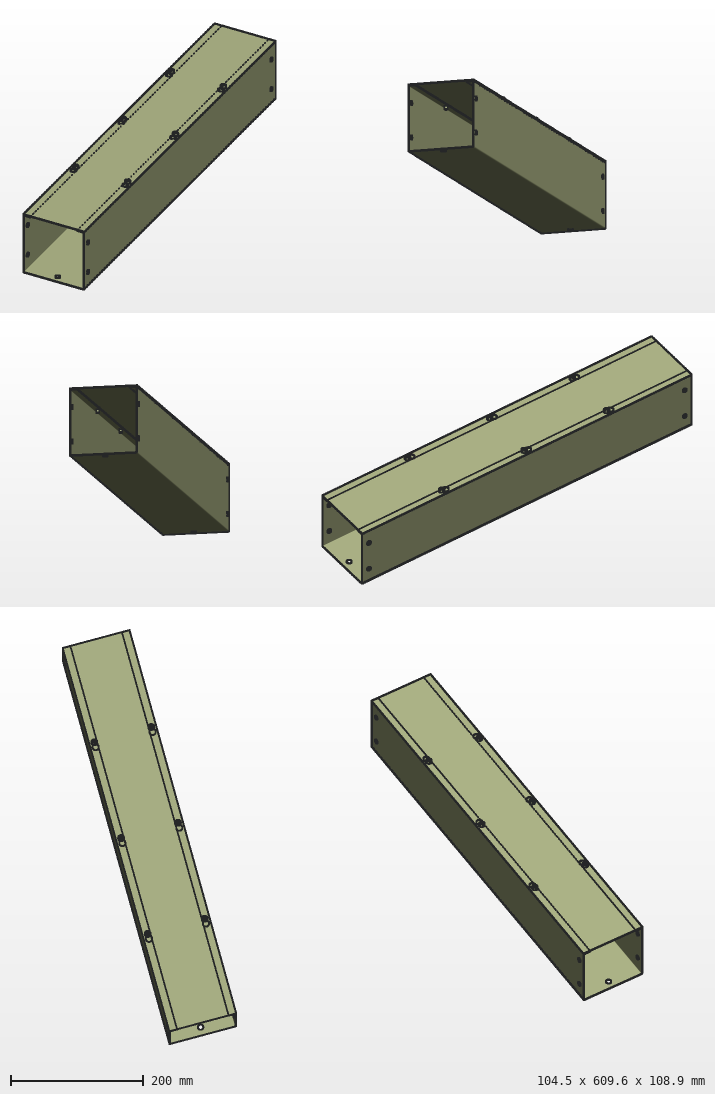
import cadquery as cq

length = 609.6
width = 104.5
sheet = 1.5
trough_height = 103.0
flange_width = 12.0
bend_inner_radius = 0.75
overall_height = 108.94

side_hole_diameter = 6.8
floor_hole_diameter = 8.0
end_hole_inset = 12.7
side_hole_spacing = 52.8

screw_side_offset = 44.45
screw_pitch = 152.4
screws_per_side = 3
shank_diameter = 5.0
head_diameter = 9.2
shank_below_flange = 5.5
tip_chamfer = 1.0
drive_slot_width = 1.0
drive_slot_depth = 2.5
head_crown_radius = 2.5

slot_width = 9.6
keyhole_travel = 7.4

bend_outer_radius = bend_inner_radius + sheet
cover_top = trough_height + sheet
head_height = overall_height - cover_top
flange_underside = trough_height - sheet
end_hole_y = length / 2 - end_hole_inset
screw_points = [
    (side * screw_side_offset, (row - (screws_per_side - 1) / 2) * screw_pitch)
    for side in (-1, 1)
    for row in range(screws_per_side)
]


def long_block(block_width, bottom, top):
    """A block over the full length, centred in X and Y, between two heights."""
    return (
        cq.Workplane("XY", origin=(0, 0, bottom))
        .rect(block_width, length)
        .extrude(top - bottom)
    )


def make_trough():
    """Bent channel with in-turned top flanges, end holes and screw holes."""
    outside = long_block(width, 0, trough_height).edges("|Y").fillet(bend_outer_radius)
    inside = (
        long_block(width - 2 * sheet, sheet, flange_underside)
        .edges("|Y")
        .fillet(bend_inner_radius)
    )
    opening = long_block(width - 2 * flange_width, flange_underside - sheet, trough_height)
    side_hole_points = [
        (y, trough_height / 2 + up * side_hole_spacing / 2)
        for y in (-end_hole_y, end_hole_y)
        for up in (-1, 1)
    ]
    side_holes = (
        cq.Workplane("YZ")
        .pushPoints(side_hole_points)
        .circle(side_hole_diameter / 2)
        .extrude(width, both=True)
    )
    floor_holes = (
        cq.Workplane("XY")
        .pushPoints([(0, -end_hole_y), (0, end_hole_y)])
        .circle(floor_hole_diameter / 2)
        .extrude(sheet)
    )
    screw_holes = (
        cq.Workplane("XY", origin=(0, 0, flange_underside))
        .pushPoints(screw_points)
        .circle(shank_diameter / 2)
        .extrude(sheet)
    )
    return outside.cut(inside).cut(opening).cut(side_holes).cut(floor_holes).cut(screw_holes)


def make_cover():
    """Flat cover sheet with a keyhole slot at each screw."""
    plate = long_block(width, trough_height, cover_top)
    base = cq.Workplane("XY", origin=(0, 0, trough_height))
    wide_ends = (
        base.pushPoints([(x, y - keyhole_travel) for x, y in screw_points])
        .circle(slot_width / 2)
        .extrude(sheet)
    )
    necks = (
        base.pushPoints([(x, y - keyhole_travel / 2) for x, y in screw_points])
        .slot2D(keyhole_travel + shank_diameter, shank_diameter, 90)
        .extrude(sheet)
    )
    return plate.cut(wide_ends).cut(necks)


def make_screw(x, y):
    """Screw with a crowned, cross-slotted head resting on the cover."""
    shank = (
        cq.Workplane("XY", origin=(x, y, flange_underside - shank_below_flange))
        .circle(shank_diameter / 2)
        .extrude(cover_top - flange_underside + shank_below_flange)
        .faces("<Z")
        .chamfer(tip_chamfer)
    )
    head = (
        cq.Workplane("XY", origin=(x, y, cover_top))
        .circle(head_diameter / 2)
        .extrude(head_height)
        .faces(">Z")
        .edges()
        .fillet(head_crown_radius)
    )
    slot_floor = cq.Workplane("XY", origin=(x, y, overall_height - drive_slot_depth))
    slot_along_x = slot_floor.rect(head_diameter, drive_slot_width).extrude(drive_slot_depth)
    slot_along_y = slot_floor.rect(drive_slot_width, head_diameter).extrude(drive_slot_depth)
    return shank.union(head).cut(slot_along_x).cut(slot_along_y)


trough = make_trough()
cover = make_cover()
screws = [make_screw(x, y) for x, y in screw_points]

result = cq.Compound.makeCompound(
    [trough.val(), cover.val(), *[screw.val() for screw in screws]]
)